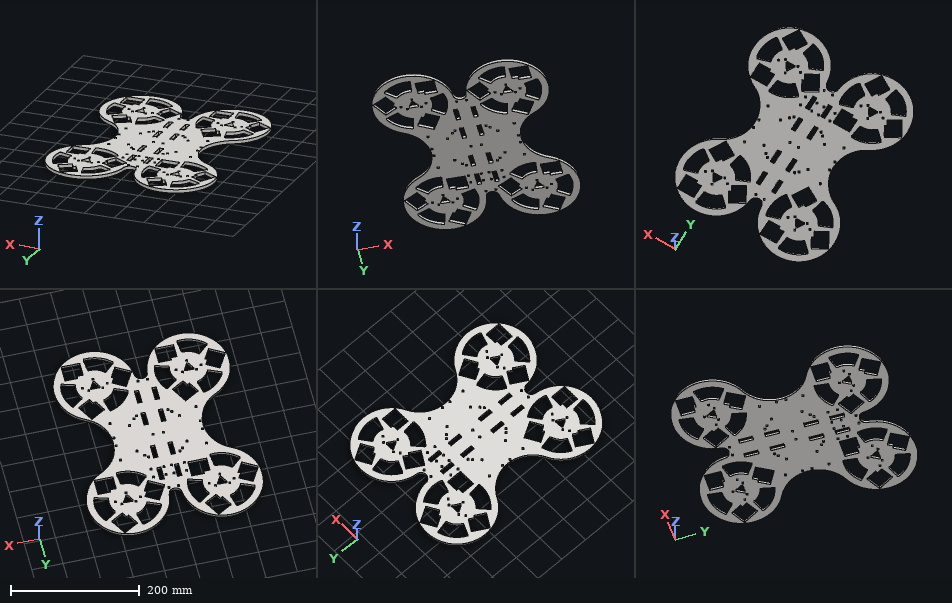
import cadquery as cq
import math

length = 349.7
width = 279.7
thickness = 6.0

lobe_radius = 65.0
lobe_x = width / 2 - lobe_radius
lobe_y = length / 2 - lobe_radius
waist_half_width = 72.0
end_notch_y = 106.3

windows_per_lobe = 3
window_pitch = 360 / windows_per_lobe
sector_inner_radius = 30.0
sector_outer_radius = 52.8
sector_middle_angle = 10.0
sector_span = 53.6
sector_corner_radius = 1.5

box_left = 13.0
box_right = 42.3
box_top = -20.0
box_bottom = -46.5
box_notch_width = 9.8
box_notch_depth = 4.2

corner_angles = (30, 150, 270)
triangle_inradius = 5.0
triangle_corner_radius = 1.5
motor_hole_circle = 13.0
motor_side_hole_x = 20.0
motor_hole_diameter = 2.8

slot_width = 6.3
slot_length = 22.5
slot_x = 14.0
slot_rows = (31.8, 74.0)

body_hole_diameter = 3.0
large_hole_diameter = 3.18
end_hole = (7.7, 102.8)
middle_hole_x = 8.0
edge_hole = (69.0, 7.7)
shoulder_hole = (68.5, 35.3)
ring_hole_near = 25.0
ring_hole_far = 40.0
diagonal_hole = (30.0, 35.3)
grid_hole_columns = (6.3, 26.5)
grid_hole_rows = (63.0, 78.5)


def mirrored(x, y):
    """The point and its mirror images about both axes."""
    return [(sx * x, sy * y) for sx in (1, -1) for sy in (1, -1)]


def polar(radius, degrees):
    angle = math.radians(degrees)
    return (radius * math.cos(angle), radius * math.sin(angle))


def blend_radius(along, across, bottom):
    """Radius of the concave arc centred on an axis that touches a lobe.

    along and across place the lobe centre relative to that axis;
    bottom is where the arc crosses the axis.
    """
    gap = bottom - along
    return (across**2 + gap**2 - lobe_radius**2) / (2 * (lobe_radius - gap))


def lobe_point_towards(x, y):
    """Point on the rim of the +X +Y lobe in the direction of (x, y)."""
    angle = math.atan2(y - lobe_y, x - lobe_x)
    return (lobe_x + lobe_radius * math.cos(angle), lobe_y + lobe_radius * math.sin(angle))


def make_holes(centres, diameter):
    return cq.Workplane("XY").pushPoints(centres).circle(diameter / 2).extrude(thickness)


def make_plate():
    notch_radius = blend_radius(lobe_y, lobe_x, end_notch_y)
    notch_centre_y = end_notch_y + notch_radius
    waist_radius = blend_radius(lobe_x, lobe_y, waist_half_width)
    waist_centre_x = waist_half_width + waist_radius

    notch_end = lobe_point_towards(0, notch_centre_y)
    waist_end = lobe_point_towards(waist_centre_x, 0)
    quarter = (
        cq.Workplane("XY")
        .moveTo(0, 0)
        .lineTo(0, end_notch_y)
        .radiusArc(notch_end, -notch_radius)
        .threePointArc((lobe_x + lobe_radius, lobe_y), waist_end)
        .radiusArc((waist_half_width, 0), -waist_radius)
        .close()
        .extrude(thickness)
    )
    half = quarter.union(quarter.mirror("YZ"))
    return half.union(half.mirror("XZ")).clean()


def make_sector():
    start = sector_middle_angle - sector_span / 2
    end = sector_middle_angle + sector_span / 2
    return (
        cq.Workplane("XY")
        .moveTo(*polar(sector_inner_radius, start))
        .lineTo(*polar(sector_outer_radius, start))
        .threePointArc(polar(sector_outer_radius, sector_middle_angle), polar(sector_outer_radius, end))
        .lineTo(*polar(sector_inner_radius, end))
        .threePointArc(polar(sector_inner_radius, sector_middle_angle), polar(sector_inner_radius, start))
        .close()
        .extrude(thickness)
        .edges("|Z")
        .fillet(sector_corner_radius)
    )


def make_notched_box():
    notch_x = box_left + box_notch_width
    notch_y = box_top - box_notch_depth
    return (
        cq.Workplane("XY")
        .moveTo(box_left, box_bottom)
        .lineTo(box_right, box_bottom)
        .lineTo(box_right, box_top)
        .lineTo(notch_x, box_top)
        .lineTo(notch_x, notch_y)
        .lineTo(box_left, notch_y)
        .close()
        .extrude(thickness)
    )


def make_motor_cutter():
    """Everything cut from one lobe, with the lobe centre at the origin."""
    cutter = (
        cq.Workplane("XY")
        .polyline([polar(2 * triangle_inradius, angle) for angle in corner_angles])
        .close()
        .extrude(thickness)
        .edges("|Z")
        .fillet(triangle_corner_radius)
    )
    holes = [polar(motor_hole_circle, angle) for angle in corner_angles]
    holes += [(motor_side_hole_x, 0), (-motor_side_hole_x, 0)]
    cutter = cutter.union(make_holes(holes, motor_hole_diameter))
    windows = make_sector().union(make_notched_box())
    for index in range(windows_per_lobe):
        cutter = cutter.union(windows.rotate((0, 0, 0), (0, 0, 1), index * window_pitch))
    return cutter


def make_body_slots():
    centres = [point for row in slot_rows for point in mirrored(slot_x, row)]
    return cq.Workplane("XY").pushPoints(centres).rect(slot_width, slot_length).extrude(thickness)


def make_body_holes():
    holes = mirrored(*end_hole) + mirrored(*edge_hole)
    for x in grid_hole_columns:
        for y in grid_hole_rows:
            holes += [(x, y), (-x, y)]
    return make_holes(holes, body_hole_diameter)


def make_large_body_holes():
    quarter_holes = (
        shoulder_hole,
        diagonal_hole,
        (ring_hole_near, ring_hole_far),
        (ring_hole_far, ring_hole_near),
    )
    holes = [(middle_hole_x, 0), (-middle_hole_x, 0)]
    for x, y in quarter_holes:
        holes += mirrored(x, y)
    return make_holes(holes, large_hole_diameter)


result = make_plate().cut(make_body_slots()).cut(make_body_holes()).cut(make_large_body_holes())
motor_cutter = make_motor_cutter()
for x, y in mirrored(lobe_x, lobe_y):
    result = result.cut(motor_cutter.translate((x, y, 0)))